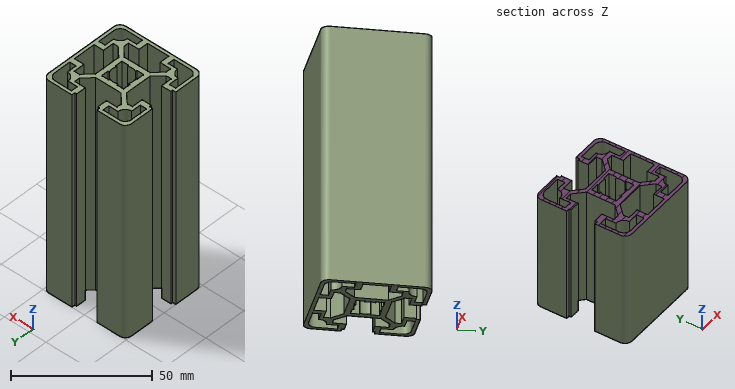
import cadquery as cq
import math

side = 40.0
length = 100.0
outer_radius = 3.0
wall = 1.5

mouth_width = 12.0
throat_width = 10.2
lip_depth = 6.0
undercut_width = 20.3
core_width = 15.0
rib_thickness = 2.0

bore_width = 10.5
pad_width = 4.0
pad_circle_diameter = 10.0

hollow_outer_radius = 3.0
hollow_inner_radius = 3.4
hollow_round_end = 14.9
hollow_step = 12.1
hollow_lip = 15.5
hollow_end = 7.6

quarter_turn = 90.0
half_side = side / 2
wall_inside = half_side - wall


def bar(width, depth):
    return cq.Workplane("XY").rect(width, depth).extrude(length)


def slot(is_open):
    """Slot opening towards +Y."""
    lip_underside = half_side - lip_depth
    floor = core_width / 2
    rib_offset = rib_thickness / math.sqrt(2)
    half_undercut = undercut_width / 2
    half_floor = floor - rib_offset
    right_half = [
        (half_floor, floor),
        (half_undercut, half_undercut + rib_offset),
        (half_undercut, lip_underside),
        (throat_width / 2, lip_underside),
        (throat_width / 2, wall_inside),
    ]
    if is_open:
        right_half += [(mouth_width / 2, wall_inside), (mouth_width / 2, half_side)]
    left_half = [(-x, y) for x, y in reversed(right_half)]
    return cq.Workplane("XY").polyline(right_half + left_half).close().extrude(length)


def corner_hollow():
    """Angled hollow behind the corner at +X, +Y."""
    round_center = wall_inside - hollow_outer_radius
    return (
        cq.Workplane("XY")
        .moveTo(hollow_end, wall_inside)
        .lineTo(round_center, wall_inside)
        .radiusArc((wall_inside, round_center), hollow_outer_radius)
        .lineTo(wall_inside, hollow_end)
        .lineTo(hollow_lip, hollow_end)
        .lineTo(hollow_lip, hollow_step)
        .lineTo(hollow_round_end, hollow_step)
        .radiusArc((hollow_step, hollow_round_end), hollow_inner_radius)
        .lineTo(hollow_step, hollow_lip)
        .lineTo(hollow_end, hollow_lip)
        .close()
        .extrude(length)
    )


def central_bore():
    """Square bore with a shallow ridge left standing on each wall."""
    pads = bar(pad_width, bore_width).union(bar(bore_width, pad_width))
    circle = cq.Workplane("XY").circle(pad_circle_diameter / 2).extrude(length)
    return bar(bore_width, bore_width).cut(pads.cut(circle))


def turned(shape, turns):
    return shape.rotate((0, 0, 0), (0, 0, 1), quarter_turn * turns)


result = bar(side, side).edges("|Z").fillet(outer_radius).cut(central_bore())

for turn, is_open in enumerate([True, True, False, False]):
    result = result.cut(turned(slot(is_open), turn))
    result = result.cut(turned(corner_hollow(), turn))